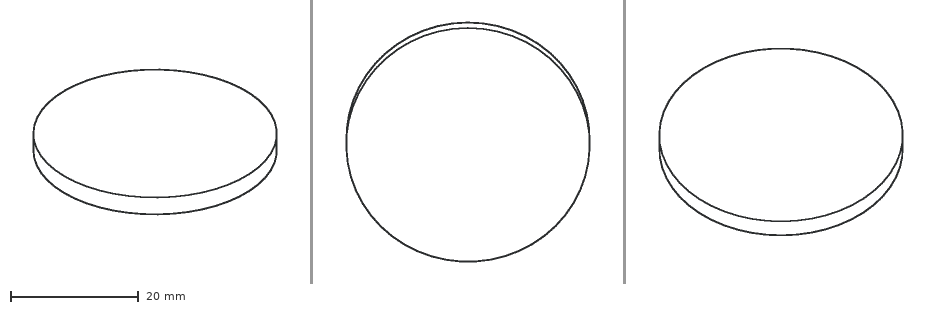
import cadquery as cq

diameter = 38.1
center_thickness = 5.0
edge_thickness = 3.12

radius = diameter / 2
half_center = center_thickness / 2
half_edge = edge_thickness / 2
cap_height = half_center - half_edge
sphere_radius = (radius**2 + cap_height**2) / (2 * cap_height)


def face_sphere(side):
    """Sphere forming the upper (side=1) or lower (side=-1) face.

    Its poles lie along Y and its seam is turned away from the lens face.
    """
    center_z = side * (half_center - sphere_radius)
    seam_turn = 90 * side
    return (
        cq.Workplane("XY")
        .sphere(sphere_radius)
        .rotate((0, 0, 0), (0, 0, 1), seam_turn)
        .rotate((0, 0, 0), (1, 0, 0), -90)
        .translate((0, 0, center_z))
    )


rim = cq.Workplane("XY").circle(radius).extrude(half_center, both=True)
rim = rim.rotate((0, 0, 0), (0, 0, 1), 180)

result = rim.intersect(face_sphere(1)).intersect(face_sphere(-1))